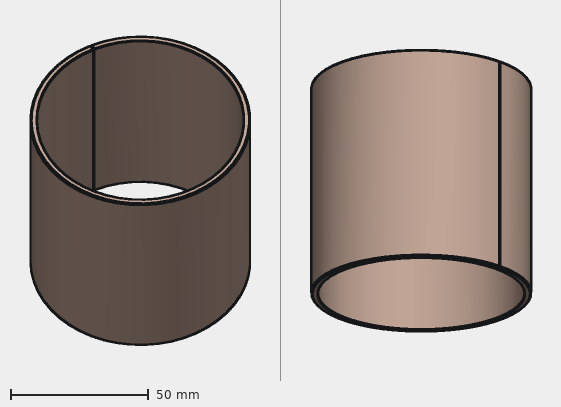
import cadquery as cq

outer_diameter = 80
wall = 2.5
length = 80
slit_angle = 1
outer_chamfer_height = 0.5
outer_chamfer_depth = 0.5
inner_chamfer = 0.2

outer_radius = outer_diameter / 2
inner_radius = outer_radius - wall
half_length = length / 2

wall_section = [
    (inner_radius, -half_length + inner_chamfer),
    (inner_radius + inner_chamfer, -half_length),
    (outer_radius - outer_chamfer_depth, -half_length),
    (outer_radius, -half_length + outer_chamfer_height),
    (outer_radius, half_length - outer_chamfer_height),
    (outer_radius - outer_chamfer_depth, half_length),
    (inner_radius + inner_chamfer, half_length),
    (inner_radius, half_length - inner_chamfer),
]
profile = cq.Workplane("XZ").polyline(wall_section).close()
sleeve = profile.revolve(360 - slit_angle, (0, 0, 0), (0, 1, 0))

result = sleeve.rotate((0, 0, 0), (0, 0, 1), 180)